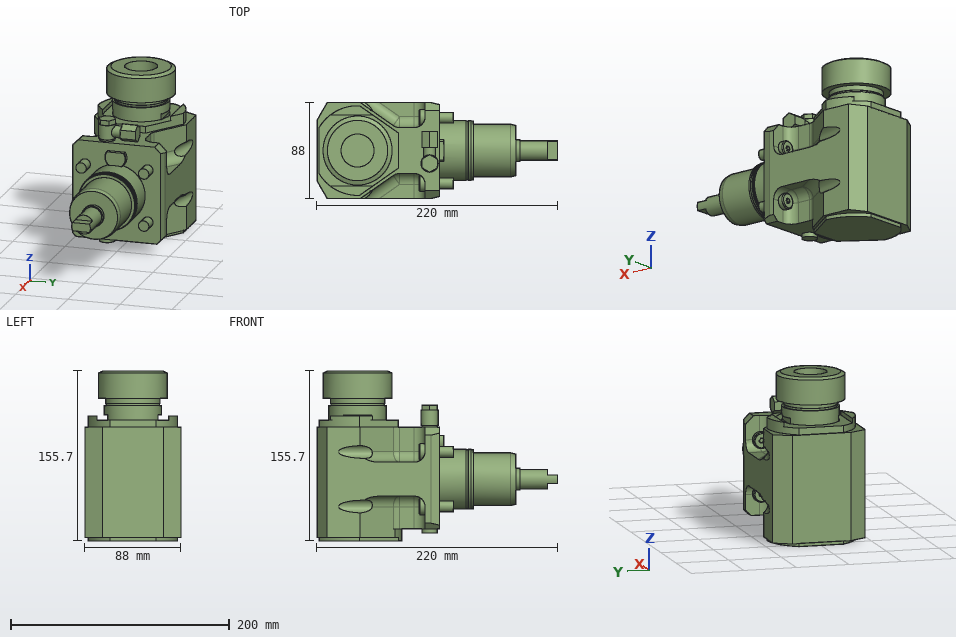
import cadquery as cq
import math


BODY_LEFT = -112.0
BODY_HALF_WIDTH = 44.0
BODY_TOP = 47.6
BODY_BOTTOM = -53.4
CORNER_WIDTH = 16.0
CORNER_ANGLE = math.radians(30)
CORNER_LENGTH = CORNER_WIDTH * math.tan(CORNER_ANGLE)
SPINDLE_X = -75.0
HEAD_RADIUS = 40.5

FLANGE_BACK = -13.2
FLANGE_BOTTOM = -45.5
FLANGE_CORNER_Z = 40.2
TAPER_LENGTH = 8.0
TAPER_DEPTH = 1.9

POCKET_RADIUS = 10.0
POCKET_FLOOR = 15.5
WAIST_HALF_WIDTH = 21.0
WALL_ANGLE = math.radians(35)
POCKET_BEND_X = -36.6
WALL_START_X = POCKET_BEND_X - POCKET_RADIUS * math.sin(WALL_ANGLE)
WALL_START_Y = WAIST_HALF_WIDTH + POCKET_RADIUS * (1 - math.cos(WALL_ANGLE))
CLEARANCE = 20.0

SCREW_Y = 30.0
SCREW_Z = 25.0
SCREW_RADIUS = 5.0
SCREW_LENGTH = 12.6
SCREW_HEAD_RADIUS = 7.6
SCREW_HEAD_HEIGHT = 5.5
SCREW_HEAD_CHAMFER = 1.0
SOCKET_DIAMETER = 5.0
SOCKET_DEPTH = 3.0
GROOVE_RADIUS = 6.0
GROOVE_START_X = -92.4
GROOVE_ANGLE = math.radians(14)
GROOVE_LENGTH = 48.0

PLATE_RADIUS = 41.0
PLATE_LEFT = -110.2
PLATE_RIGHT = -37.7
PLATE_WALL_DISTANCE = 34.6
PLATE_APEX_X = SPINDLE_X + PLATE_WALL_DISTANCE / math.sin(WALL_ANGLE)
PLATE_TOP = 53.9
LIP_TOP = 58.0
LIP_Y = 32.6
COVER_BOTTOM = -56.71
HEAD_BOTTOM = -56.4

COLLAR_RADIUS = 26.4
COLLAR_TOP = 67.3
NECK_GROOVE_RADIUS = 24.5
NECK_GROOVE_TOP = 69.2
NECK_RADIUS = 25.0
WRENCH_FLAT_Y = 23.0
WRENCH_FLAT_BOTTOM = 52.9
WRENCH_FLAT_TOP = 58.9
NUT_RADIUS = 31.6
NUT_BOTTOM = 73.8
NUT_TOP = 99.0
NUT_CHAMFER_HEIGHT = 2.0
NUT_CHAMFER_WIDTH = 4.0
BORE_RADIUS = 15.1
BORE_DEPTH = 15.0

SHANK_RADIUS = 27.5
SHANK_END = 24.0
RELIEF_RADIUS = 27.1
RELIEF_END = 25.9
SEAL_GROOVE_RADIUS = 26.5
SEAL_GROOVE_END = 26.6
SEAL_RING_END = 28.7
STEP_END = 30.8
BARREL_RADIUS = 24.2
BARREL_END = 65.0
BARREL_TIP_RADIUS = 23.0
BARREL_TIP = 69.8
SHAFT_COLLAR_RADIUS = 10.1
SHAFT_COLLAR_END = 73.5
SHAFT_RADIUS = 9.0
SHAFT_END = 108.0
TANG_START = 98.8
TANG_HALF_THICKNESS = 4.0

DISC_THICKNESS = 4.0
DISC_RADIUS = 10.0
DISC_TOP = 40.0
DISC_FLAT_HEIGHT = 5.3
DISC_CHAMFER = 0.5

FITTING_X = -9.1
FITTING_Y = -11.8
FITTING_RADIUS = 7.9
FITTING_NECK_RADIUS = 7.2
FITTING_NECK_TOP = 49.3
FITTING_BODY_TOP = 63.2
FITTING_TOP = 67.8
HEX_ACROSS_CORNERS = 16.2
HEX_TURN = 30
SIDE_FITTING_Z = 56.0
SIDE_HEX_START = 2.9
SIDE_HEX_END = 17.5
SIDE_NECK_RADIUS = 5.5
PLUG_BOTTOM = -49.4


def box(x0, x1, y0, y1, z0, z1):
    """Axis-aligned box between two opposite corners."""
    return cq.Workplane("XY").box(x1 - x0, y1 - y0, z1 - z0, centered=False).translate((x0, y0, z0))


def cylinder(start, direction, radius, length):
    """Cylinder from a start point along a direction."""
    return cq.Workplane(obj=cq.Solid.makeCylinder(radius, length, cq.Vector(*start), cq.Vector(*direction)))


def spindle_cylinder(radius, bottom, top):
    """Cylinder about the spindle axis."""
    return cylinder((SPINDLE_X, 0, bottom), (0, 0, 1), radius, top - bottom)


def mirrored(shape, plane):
    """Shape joined with its mirror image."""
    return shape.union(shape.mirror(plane))


def hexagon(plane, origin, length):
    """Hexagonal prism along a plane's normal, with two flats facing along X."""
    prism = cq.Workplane(plane).transformed(rotate=(0, 0, HEX_TURN)).polygon(6, HEX_ACROSS_CORNERS)
    return prism.extrude(length).translate(origin)


def wedge_prism(left_x, apex_x, bottom, top):
    """Triangular prism with a flat on the left and two sides at the pocket wall angle."""
    half_width = (apex_x - left_x) * math.tan(WALL_ANGLE)
    outline = [(left_x, -half_width), (apex_x, 0), (left_x, half_width)]
    return cq.Workplane("XY").workplane(offset=bottom).polyline(outline).close().extrude(top - bottom)


def body_block():
    """Block with the two left corners cut and the right edge tapered towards the flange face."""
    half_outline = [
        (BODY_LEFT, BODY_HALF_WIDTH - CORNER_WIDTH),
        (BODY_LEFT + CORNER_LENGTH, BODY_HALF_WIDTH),
        (-TAPER_LENGTH, BODY_HALF_WIDTH),
        (0, BODY_HALF_WIDTH - TAPER_DEPTH),
    ]
    other_half = [(x, -y) for x, y in reversed(half_outline)]
    outline = cq.Workplane("XY").workplane(offset=BODY_BOTTOM).polyline(half_outline + other_half)
    block = outline.close().extrude(BODY_TOP - BODY_BOTTOM)

    below = box(WALL_START_X, 0, -BODY_HALF_WIDTH, BODY_HALF_WIDTH, BODY_BOTTOM, FLANGE_BOTTOM)
    wall_apex = WALL_START_X + WALL_START_Y / math.tan(WALL_ANGLE)
    head = spindle_cylinder(HEAD_RADIUS, BODY_BOTTOM, FLANGE_BOTTOM)
    head = head.intersect(wedge_prism(BODY_LEFT, wall_apex, BODY_BOTTOM, FLANGE_BOTTOM))
    return block.cut(below.cut(head))


def flange_corners():
    """45 degree wedges that bevel the flange corners, on all four sides."""
    wedge = (
        cq.Workplane("YZ")
        .workplane(offset=FLANGE_BACK)
        .moveTo(BODY_HALF_WIDTH, FLANGE_CORNER_Z)
        .lineTo(BODY_HALF_WIDTH - CLEARANCE, FLANGE_CORNER_Z + CLEARANCE)
        .lineTo(BODY_HALF_WIDTH, FLANGE_CORNER_Z + CLEARANCE)
        .close()
        .extrude(-FLANGE_BACK)
    )
    return mirrored(mirrored(wedge, "XY"), "XZ")


def side_pocket():
    """Volume swept by a ball-ended cutter over the upper -Y side of the waist."""
    center_y = -(WAIST_HALF_WIDTH + POCKET_RADIUS)
    center_z = POCKET_FLOOR + POCKET_RADIUS
    outer_y = -(BODY_HALF_WIDTH + CLEARANCE)
    end_x = FLANGE_BACK - POCKET_RADIUS
    slant_x = POCKET_BEND_X + (outer_y - center_y) / math.tan(WALL_ANGLE)
    path = [(end_x, outer_y), (end_x, center_y), (POCKET_BEND_X, center_y), (slant_x, outer_y)]

    core = cq.Workplane("XY").polyline(path).close()
    height = BODY_TOP + CLEARANCE - center_z
    pocket = core.offset2D(POCKET_RADIUS).extrude(height).translate((0, 0, center_z))
    floor = cq.Workplane("XY").workplane(offset=POCKET_FLOOR).polyline(path).close().extrude(POCKET_RADIUS)
    pocket = pocket.union(floor)
    for (x0, y0), (x1, y1) in zip(path, path[1:]):
        run = (x1 - x0, y1 - y0, 0)
        pocket = pocket.union(cylinder((x0, y0, center_z), run, POCKET_RADIUS, math.hypot(*run)))
    for x, y in path[1:-1]:
        pocket = pocket.union(cq.Workplane("XY").sphere(POCKET_RADIUS).translate((x, y, center_z)))
    return pocket


def access_groove():
    """Slanted round groove that gives a wrench access to the upper -Y screw."""
    direction = (math.cos(GROOVE_ANGLE), math.sin(GROOVE_ANGLE), 0)
    axis_x = GROOVE_START_X + GROOVE_RADIUS * math.sin(GROOVE_ANGLE)
    axis_y = -BODY_HALF_WIDTH - GROOVE_RADIUS * math.cos(GROOVE_ANGLE)
    start = (axis_x - CLEARANCE * direction[0], axis_y - CLEARANCE * direction[1], SCREW_Z)
    return cylinder(start, direction, GROOVE_RADIUS, GROOVE_LENGTH + CLEARANCE)


def screw(y, z):
    """Flange screw with a chamfered socket head in the pocket."""
    head_start = FLANGE_BACK - SCREW_HEAD_HEIGHT
    head = cylinder((head_start, y, z), (1, 0, 0), SCREW_HEAD_RADIUS, SCREW_HEAD_HEIGHT)
    head = head.faces("<X").chamfer(SCREW_HEAD_CHAMFER)
    stem = cylinder((FLANGE_BACK, y, z), (1, 0, 0), SCREW_RADIUS, SCREW_LENGTH - FLANGE_BACK)
    socket = cq.Workplane("YZ").polygon(6, SOCKET_DIAMETER).extrude(SOCKET_DEPTH)
    return head.union(stem).cut(socket.translate((head_start, y, z)))


def cover_plate(bottom, top):
    """Round plate with flats on the left, on the right and along the pocket walls."""
    right_limit = box(PLATE_LEFT, PLATE_RIGHT, -PLATE_RADIUS, PLATE_RADIUS, bottom, top)
    plate = spindle_cylinder(PLATE_RADIUS, bottom, top)
    return plate.intersect(wedge_prism(PLATE_LEFT, PLATE_APEX_X, bottom, top)).intersect(right_limit)


def covers():
    """Top plate with two raised lips, and the bottom plate with the end of the round head."""
    top_plate = cover_plate(BODY_TOP, LIP_TOP)
    recess = box(PLATE_LEFT, PLATE_RIGHT, -LIP_Y, LIP_Y, PLATE_TOP, LIP_TOP)
    head_end = spindle_cylinder(HEAD_RADIUS, HEAD_BOTTOM, BODY_BOTTOM)
    head_end = head_end.intersect(wedge_prism(PLATE_LEFT, PLATE_APEX_X, HEAD_BOTTOM, BODY_BOTTOM))
    return top_plate.cut(recess).union(cover_plate(COVER_BOTTOM, BODY_BOTTOM)).union(head_end)


def spindle():
    """Spindle collar, neck and bored clamping nut."""
    half_profile = [
        (0, BODY_TOP),
        (COLLAR_RADIUS, BODY_TOP),
        (COLLAR_RADIUS, COLLAR_TOP),
        (NECK_GROOVE_RADIUS, COLLAR_TOP),
        (NECK_GROOVE_RADIUS, NECK_GROOVE_TOP),
        (NECK_RADIUS, NECK_GROOVE_TOP),
        (NECK_RADIUS, NUT_BOTTOM),
        (NUT_RADIUS, NUT_BOTTOM),
        (NUT_RADIUS, NUT_TOP - NUT_CHAMFER_HEIGHT),
        (NUT_RADIUS - NUT_CHAMFER_WIDTH, NUT_TOP),
        (BORE_RADIUS, NUT_TOP),
        (BORE_RADIUS, NUT_TOP - BORE_DEPTH),
        (0, NUT_TOP - BORE_DEPTH),
    ]
    turned = cq.Workplane("XZ").polyline(half_profile).close().revolve(360, (0, 0, 0), (0, 1, 0))
    return turned.translate((SPINDLE_X, 0, 0))


def wrench_flats():
    """Segments cut off both sides of the collar, running slightly into the top plate."""
    disc = spindle_cylinder(COLLAR_RADIUS, WRENCH_FLAT_BOTTOM, WRENCH_FLAT_TOP)
    left = SPINDLE_X - COLLAR_RADIUS
    right = SPINDLE_X + COLLAR_RADIUS
    between = box(left, right, -WRENCH_FLAT_Y, WRENCH_FLAT_Y, WRENCH_FLAT_BOTTOM, WRENCH_FLAT_TOP)
    return disc.cut(between)


def shank():
    """Stepped shank with seal groove, drive shaft and flat tang."""
    sections = [
        (SHANK_RADIUS, SHANK_END),
        (RELIEF_RADIUS, RELIEF_END),
        (SEAL_GROOVE_RADIUS, SEAL_GROOVE_END),
        (SHANK_RADIUS, SEAL_RING_END),
        (RELIEF_RADIUS, STEP_END),
        (BARREL_RADIUS, BARREL_END),
    ]
    half_profile = [(FLANGE_BACK, 0)]
    start = FLANGE_BACK
    for radius, end in sections:
        half_profile += [(start, radius), (end, radius)]
        start = end
    half_profile.append((BARREL_TIP, BARREL_TIP_RADIUS))
    start = BARREL_TIP
    for radius, end in [(SHAFT_COLLAR_RADIUS, SHAFT_COLLAR_END), (SHAFT_RADIUS, SHAFT_END)]:
        half_profile += [(start, radius), (end, radius)]
        start = end
    half_profile.append((SHAFT_END, 0))
    turned = cq.Workplane("XY").polyline(half_profile).close().revolve(360, (0, 0, 0), (1, 0, 0))
    tang_side = box(
        TANG_START, SHAFT_END, -SHAFT_RADIUS, SHAFT_RADIUS, TANG_HALF_THICKNESS, SHAFT_RADIUS
    )
    return turned.cut(mirrored(tang_side, "XY"))


def locating_disc():
    """Chamfered disc on the flange face above the shank, with a flat on top."""
    center_z = DISC_TOP - DISC_FLAT_HEIGHT
    disc = cylinder((0, 0, center_z), (1, 0, 0), DISC_RADIUS, DISC_THICKNESS)
    disc = disc.faces(">X").chamfer(DISC_CHAMFER)
    above_flat = box(0, DISC_THICKNESS, -DISC_RADIUS, DISC_RADIUS, DISC_TOP, center_z + DISC_RADIUS)
    return disc.cut(above_flat)


def coolant_fittings():
    """Upright hex fitting with a side branch on top, and a round plug underneath."""
    spot = (FITTING_X, FITTING_Y)
    up = (0, 0, 1)
    neck = cylinder((*spot, BODY_TOP), up, FITTING_NECK_RADIUS, FITTING_NECK_TOP - BODY_TOP)
    barrel_height = FITTING_BODY_TOP - FITTING_NECK_TOP
    barrel = cylinder((*spot, FITTING_NECK_TOP), up, FITTING_RADIUS, barrel_height)
    head = hexagon("XY", (*spot, FITTING_BODY_TOP), FITTING_TOP - FITTING_BODY_TOP)
    branch_start = (FITTING_X, FITTING_Y, SIDE_FITTING_Z)
    branch = cylinder(branch_start, (0, 1, 0), SIDE_NECK_RADIUS, SIDE_HEX_START - FITTING_Y)
    side_hex = hexagon("XZ", (FITTING_X, SIDE_HEX_END, SIDE_FITTING_Z), SIDE_HEX_END - SIDE_HEX_START)
    plug = cylinder((*spot, PLUG_BOTTOM), up, FITTING_NECK_RADIUS, FLANGE_BOTTOM - PLUG_BOTTOM)
    return neck.union(barrel).union(head).union(branch).union(side_hex).union(plug)


def housing():
    """Body block with flange bevels, four side pockets and four access grooves."""
    cutters = mirrored(mirrored(side_pocket().union(access_groove()), "XZ"), "XY")
    return body_block().cut(flange_corners()).cut(cutters)


head_unit = housing().union(covers()).union(spindle()).cut(wrench_flats())
result = head_unit.union(shank()).union(locating_disc()).union(coolant_fittings())
for side in (-1, 1):
    for level in (-1, 1):
        result = result.union(screw(side * SCREW_Y, level * SCREW_Z))